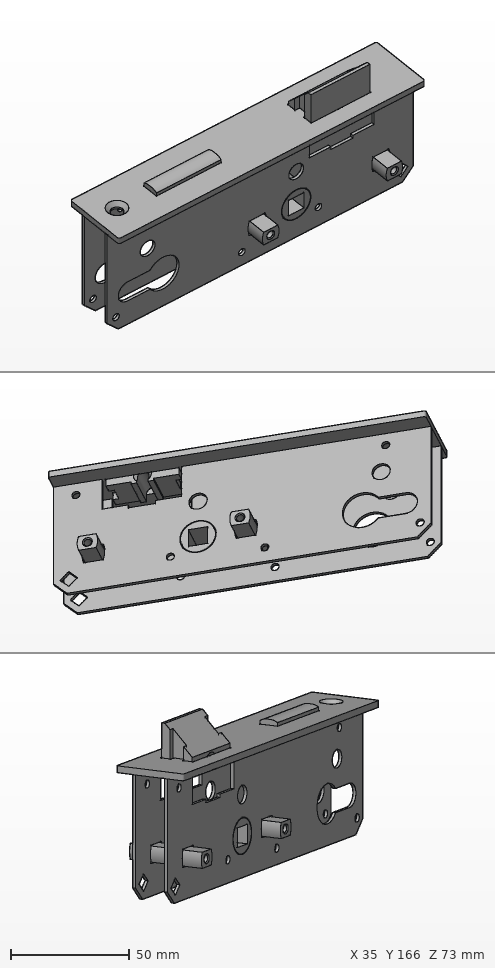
import cadquery as cq
import math


LENGTH = 166.0
FACE_WIDTH = 32.7
FACE_THICK = 3.0
FACE_BOTTOM = 55.0
FACE_TOP = FACE_BOTTOM + FACE_THICK
FACE_CORNER = 1.0
SCREW_Y = -70.9
SCREW_DIA = 6.0
SCREW_HEAD_DIA = 10.0
COUNTERSINK_ANGLE = 90

PLATE_THICK = 1.5
CASE_WIDTH = 17.0
PLATE_CORNER = 6.0
RIVET_DIA = 3.5
RIVET_POINTS = [(73.0, 49.1), (-63.0, 49.1), (31.5, 10.1), (-10.0, 7.1), (-78.2, 7.1)]
ROSE_DIA = 8.0
ROSE_Y = -61.1
ROSE_Z = 36.0
DIAMOND_Y = 76.2
DIAMOND_Z = 7.1
DIAMOND_SIDE = 5.3
AXIS_Z = 18.1

KEYHOLE_Y = -52.8
KEYHOLE_DIA = 17.5
KEY_SLOT_WIDTH = 10.5
KEY_SLOT_REACH = 24.2

LATCH_Y = 44.2
LATCH_LENGTH = 32.0
LATCH_WIDTH = 15.0
LATCH_TOP = 73.0
LATCH_BOTTOM = 52.0
LATCH_TIP = 1.7
LATCH_NOTCH_WIDTH = 6.6
LATCH_NOTCH_DEPTH = 2.5
LATCH_SIDE_CLEARANCE = 0.5
LATCH_END_CLEARANCE = 0.2
CLIP_HOLE_DIA = 5.0
CLIP_HOLE_RIM_DIA = 8.0
CLIP_Z = 55.0
CLIP_LIP_LENGTH = 10.0
CLIP_LIP_DROP = 1.0

WINDOW_LENGTH = 35.0
WINDOW_BOTTOM = 39.8
WINDOW_STEP_LENGTH = 12.0
WINDOW_STEP_DEPTH = 1.5

DEADBOLT_Y = -35.4
DEADBOLT_LENGTH = 35.0
DEADBOLT_WIDTH = 8.5
DEADBOLT_BOTTOM = 43.5
DEADBOLT_RISE = 2.5
DEADBOLT_FLAT = 1.5
DEADBOLT_ROUND = 6.6
DEADBOLT_CLEARANCE = 0.2

HUB_Y = 19.5
HUB_DIA = 17.0
HUB_BODY_LENGTH = 12.5
HUB_BOSS_DIA = 15.5
HUB_HOLE_DIA = 16.0
SPINDLE_SQUARE = 8.5

PILLAR_SPAN = 35.0
PILLAR_POINTS_Y = [65.4, -1.7]
PILLAR_LENGTH = 9.0
PILLAR_HEIGHT = 7.0
PILLAR_BULGE = 0.7
PILLAR_CLEARANCE = 0.5
PILLAR_BORE_DIA = 3.3
PILLAR_BORE_DEPTH = 8.3
PILLAR_BORE_CHAMFER = 0.5
DRILL_ANGLE = 118


def box(x_size, y_size, z_low, z_high, y=0.0):
    """Block centred on X = 0 and on the given Y, between two heights."""
    return cq.Workplane("XY").box(x_size, y_size, z_high - z_low).translate((0, y, (z_low + z_high) / 2))


def across(width):
    """YZ workplane at X = -width / 2, so that extruding by width is symmetric about X = 0."""
    return cq.Workplane("YZ", origin=(-width / 2, 0, 0))


def rod(diameter, length, y, z):
    """Cylinder along X, symmetric about X = 0."""
    return across(length).center(y, z).circle(diameter / 2).extrude(length)


def latch_block(z_low, z_high, side_clearance=0.0, end_clearance=0.0):
    """H-shaped prism of the latch bolt, grown by the clearances along X and along Y."""
    half_length = LATCH_LENGTH / 2 + end_clearance
    block = box(LATCH_WIDTH + 2 * side_clearance, 2 * half_length, z_low, z_high, LATCH_Y)
    notch_width = LATCH_NOTCH_WIDTH - 2 * side_clearance
    for end in (-1, 1):
        notch_y = LATCH_Y + end * half_length
        block = block.cut(box(notch_width, 2 * LATCH_NOTCH_DEPTH, z_low, z_high, notch_y))
    return block


def pillar_prism(clearance, length):
    """Bar along X with flat top and bottom and bulging sides, centred on the YZ origin."""
    half_height = PILLAR_HEIGHT / 2 + clearance
    half_length = PILLAR_LENGTH / 2 + clearance
    half_flat = half_length - PILLAR_BULGE
    return (
        across(length)
        .moveTo(-half_flat, -half_height)
        .lineTo(half_flat, -half_height)
        .threePointArc((half_length, 0), (half_flat, half_height))
        .lineTo(-half_flat, half_height)
        .threePointArc((-half_length, 0), (-half_flat, -half_height))
        .close()
        .extrude(length)
    )


def make_faceplate():
    plate = box(FACE_WIDTH, LENGTH, FACE_BOTTOM, FACE_TOP).edges("|Z").fillet(FACE_CORNER)
    latch_opening = latch_block(FACE_BOTTOM, FACE_TOP, LATCH_SIDE_CLEARANCE, LATCH_END_CLEARANCE)
    plate = plate.cut(latch_opening)
    slot_width = DEADBOLT_WIDTH + 2 * DEADBOLT_CLEARANCE
    slot_length = DEADBOLT_LENGTH + 2 * DEADBOLT_CLEARANCE
    plate = plate.cut(box(slot_width, slot_length, FACE_BOTTOM, FACE_TOP, DEADBOLT_Y))
    return (
        plate.faces(">Z")
        .workplane(origin=(0, SCREW_Y, FACE_TOP))
        .cskHole(SCREW_DIA, SCREW_HEAD_DIA, COUNTERSINK_ANGLE)
    )


def keyhole_cutter():
    slot_end_y = KEYHOLE_Y - KEY_SLOT_REACH + KEY_SLOT_WIDTH / 2
    slot = (
        across(CASE_WIDTH)
        .center((KEYHOLE_Y + slot_end_y) / 2, AXIS_Z)
        .slot2D(KEYHOLE_Y - slot_end_y + KEY_SLOT_WIDTH, KEY_SLOT_WIDTH)
        .extrude(CASE_WIDTH)
    )
    return rod(KEYHOLE_DIA, CASE_WIDTH, KEYHOLE_Y, AXIS_Z).union(slot)


def plate_openings():
    """All the cutters that pass through both side plates."""
    cutters = [rod(RIVET_DIA, CASE_WIDTH, y, z) for y, z in RIVET_POINTS]
    cutters += [rod(ROSE_DIA, CASE_WIDTH, y, ROSE_Z) for y in (HUB_Y, ROSE_Y)]
    cutters.append(rod(HUB_HOLE_DIA, CASE_WIDTH, HUB_Y, AXIS_Z))
    cutters.append(keyhole_cutter())
    for y in PILLAR_POINTS_Y:
        cutters.append(pillar_prism(PILLAR_CLEARANCE, CASE_WIDTH).translate((0, y, AXIS_Z)))
    diamond = cq.Workplane("XY").box(CASE_WIDTH, DIAMOND_SIDE, DIAMOND_SIDE)
    diamond = diamond.rotate((0, 0, 0), (1, 0, 0), 45)
    cutters.append(diamond.translate((0, DIAMOND_Y, DIAMOND_Z)))
    cutters.append(box(CASE_WIDTH, WINDOW_LENGTH, WINDOW_BOTTOM, FACE_BOTTOM, LATCH_Y))
    step_bottom = WINDOW_BOTTOM - WINDOW_STEP_DEPTH
    cutters.append(box(CASE_WIDTH, WINDOW_STEP_LENGTH, step_bottom, FACE_BOTTOM, LATCH_Y))
    return cutters


def make_side_plate(side):
    plate = box(PLATE_THICK, LENGTH, 0, FACE_BOTTOM).edges("|X and <Z").chamfer(PLATE_CORNER)
    plate = plate.translate((side * (CASE_WIDTH - PLATE_THICK) / 2, 0, 0))
    for cutter in plate_openings():
        plate = plate.cut(cutter)
    return plate


def make_latch():
    latch = latch_block(LATCH_BOTTOM, LATCH_TOP)
    slope_run = LATCH_WIDTH - LATCH_TIP
    bevel = (
        cq.Workplane("XZ", origin=(0, LATCH_Y + LATCH_LENGTH / 2, 0))
        .moveTo(-LATCH_WIDTH / 2, LATCH_TOP)
        .lineTo(-LATCH_WIDTH / 2, LATCH_TOP - slope_run)
        .lineTo(-LATCH_WIDTH / 2 + slope_run, LATCH_TOP)
        .close()
        .extrude(LATCH_LENGTH)
    )
    lip_bottom = LATCH_BOTTOM - CLIP_LIP_DROP
    lips = box(LATCH_WIDTH, CLIP_LIP_LENGTH, lip_bottom, LATCH_BOTTOM, LATCH_Y)
    neck = box(LATCH_WIDTH, CLIP_HOLE_DIA, lip_bottom, CLIP_Z, LATCH_Y)
    clip_hole = rod(CLIP_HOLE_DIA, LATCH_WIDTH, LATCH_Y, CLIP_Z)
    countersink = cq.Workplane(
        cq.Solid.makeCone(
            CLIP_HOLE_RIM_DIA / 2,
            CLIP_HOLE_DIA / 2,
            (CLIP_HOLE_RIM_DIA - CLIP_HOLE_DIA) / 2,
            cq.Vector(-LATCH_WIDTH / 2, LATCH_Y, CLIP_Z),
            cq.Vector(1, 0, 0),
        )
    )
    return latch.cut(bevel).union(lips).cut(neck).cut(clip_hole).cut(countersink)


def make_deadbolt():
    half_width = DEADBOLT_WIDTH / 2
    half_flat = DEADBOLT_FLAT / 2
    top = FACE_TOP + DEADBOLT_RISE
    round_center_z = top - DEADBOLT_ROUND

    def round_point(x):
        """Point of the rounded shoulder, tangent to the flat top, on the side of x."""
        height = math.sqrt(DEADBOLT_ROUND**2 - (abs(x) - half_flat) ** 2)
        return (x, round_center_z + height)

    middle_x = (half_width + half_flat) / 2
    return (
        cq.Workplane("XZ", origin=(0, DEADBOLT_Y + DEADBOLT_LENGTH / 2, 0))
        .moveTo(-half_width, DEADBOLT_BOTTOM)
        .lineTo(half_width, DEADBOLT_BOTTOM)
        .lineTo(*round_point(half_width))
        .threePointArc(round_point(middle_x), (half_flat, top))
        .lineTo(-half_flat, top)
        .threePointArc(round_point(-middle_x), round_point(-half_width))
        .close()
        .extrude(DEADBOLT_LENGTH)
    )


def make_hub():
    body = rod(HUB_DIA, HUB_BODY_LENGTH, HUB_Y, AXIS_Z)
    bosses = rod(HUB_BOSS_DIA, CASE_WIDTH, HUB_Y, AXIS_Z)
    half_square = SPINDLE_SQUARE / 2
    square = box(CASE_WIDTH, SPINDLE_SQUARE, AXIS_Z - half_square, AXIS_Z + half_square, HUB_Y)
    return body.union(bosses).cut(square)


def pillar_bore():
    """Drilled blind hole from the -X end: entry chamfer, straight bore and drill tip."""
    radius = PILLAR_BORE_DIA / 2
    tip = radius / math.tan(math.radians(DRILL_ANGLE / 2))
    start = -PILLAR_SPAN / 2
    return (
        cq.Workplane("XY")
        .moveTo(start, 0)
        .lineTo(start, radius + PILLAR_BORE_CHAMFER)
        .lineTo(start + PILLAR_BORE_CHAMFER, radius)
        .lineTo(start + PILLAR_BORE_DEPTH, radius)
        .lineTo(start + PILLAR_BORE_DEPTH + tip, 0)
        .close()
        .revolve(360, (0, 0, 0), (1, 0, 0))
    )


def make_pillar(y):
    bore = pillar_bore()
    pillar = pillar_prism(0, PILLAR_SPAN).cut(bore).cut(bore.mirror("YZ"))
    return pillar.translate((0, y, AXIS_Z))


faceplate = make_faceplate()
side_plates = [make_side_plate(side) for side in (-1, 1)]
latch = make_latch()
deadbolt = make_deadbolt()
hub = make_hub()
pillars = [make_pillar(y) for y in PILLAR_POINTS_Y]

result = cq.Compound.makeCompound(
    [
        faceplate.val(),
        *[plate.val() for plate in side_plates],
        latch.val(),
        deadbolt.val(),
        hub.val(),
        *[pillar.val() for pillar in pillars],
    ]
)